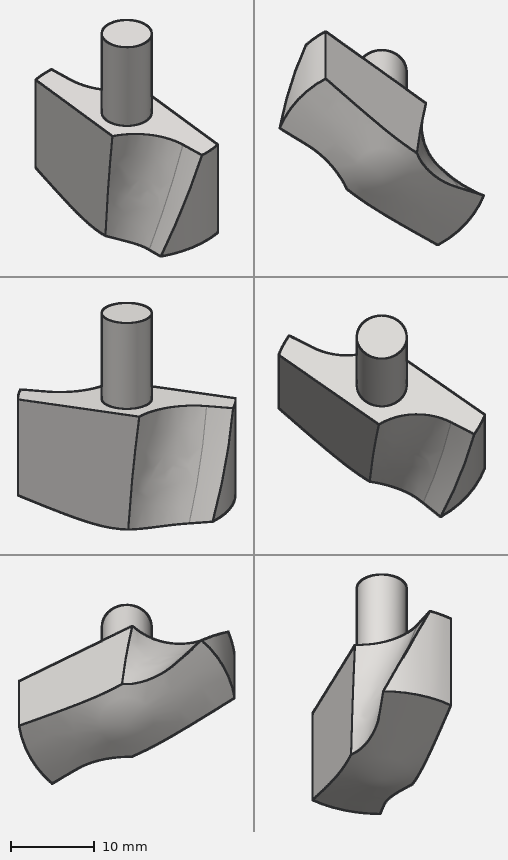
import cadquery as cq
import math

total_height = 27.6
cutter_diameter = 26.0
thickness = 9.0
shank_diameter = 6.0
shank_length = 11.2
tip_height = 3.86

flute_radius = 8.0
flute_center = (10.85, -6.8)
land_angle = 8.2
flute_start_y = -4.5
flute_twist = 33.4

cutter_radius = cutter_diameter / 2
head_height = total_height - shank_length
clearance = 4.15


def arc_point(angle):
    """Point on the flute arc at an angle in degrees."""
    turn = math.radians(angle)
    return (
        flute_center[0] + flute_radius * math.cos(turn),
        flute_center[1] + flute_radius * math.sin(turn),
    )


def make_head():
    """Pointed cylinder, cut down to a flat blade."""
    pointed_cylinder = (
        cq.Workplane("XZ")
        .polyline([(0, 0), (cutter_radius, tip_height), (cutter_radius, head_height), (0, head_height)])
        .close()
        .revolve(360, (0, 0, 0), (0, 1, 0))
    )
    slab = cq.Workplane("XY").box(cutter_diameter + clearance, thickness, head_height, (True, True, False))
    return pointed_cylinder.intersect(slab)


def make_flute():
    """Helical flute cutter: an arc running tangentially into a straight cutting face."""
    start_rise = flute_start_y - flute_center[1]
    start_angle = 180 - math.degrees(math.asin(start_rise / flute_radius))
    end_angle = 90 + land_angle
    start = arc_point(start_angle)
    middle = arc_point((start_angle + end_angle) / 2)
    end = arc_point(end_angle)
    outer_x = cutter_radius + clearance
    outer_y = end[1] + (outer_x - end[0]) * math.tan(math.radians(land_angle))
    lower_y = flute_start_y - clearance
    return (
        cq.Workplane("XY")
        .moveTo(*start)
        .threePointArc(middle, end)
        .lineTo(outer_x, outer_y)
        .lineTo(outer_x, lower_y)
        .lineTo(start[0], lower_y)
        .close()
        .twistExtrude(head_height, flute_twist)
        .rotate((0, 0, 0), (0, 0, 1), -flute_twist)
    )


head = make_head()
flute = make_flute()
for side_angle in (0, 180):
    head = head.cut(flute.rotate((0, 0, 0), (0, 0, 1), side_angle))

shank = cq.Workplane("XY").workplane(offset=head_height).circle(shank_diameter / 2).extrude(shank_length)

result = head.union(shank)